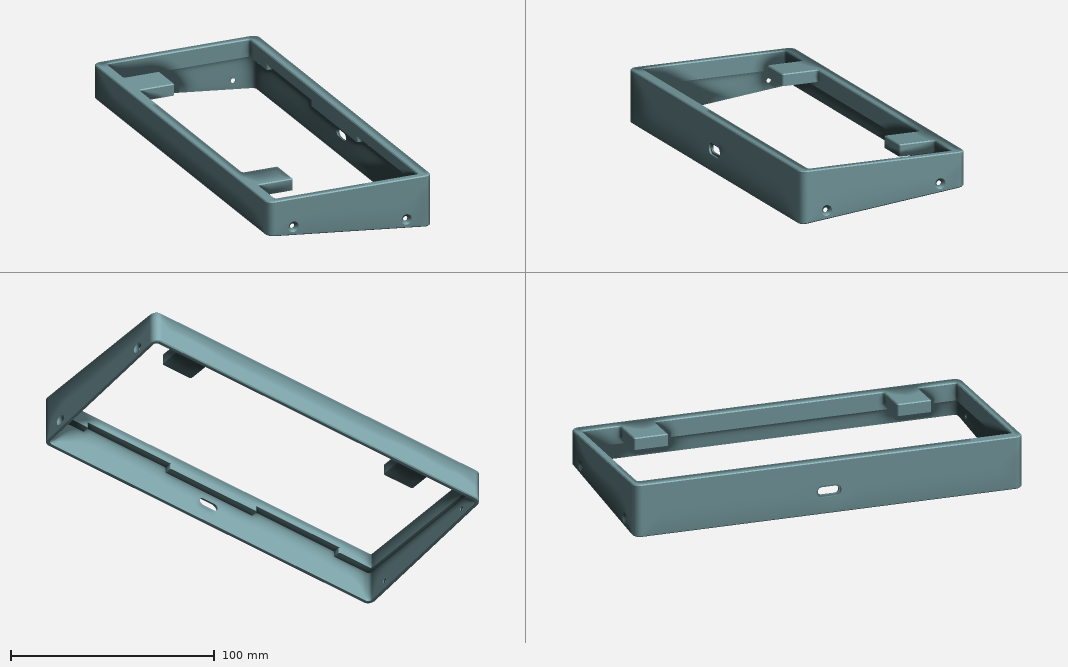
import cadquery as cq
import math

KEY_PITCH = 19.05
KEY_COLUMNS = 10.25
KEY_ROWS = 4
KEY_CLEARANCE = 0.5

SIDE_WALL = 4.0
END_WALL = 6.0
OPENING_X = KEY_COLUMNS * KEY_PITCH + 2 * KEY_CLEARANCE
OPENING_Y = KEY_ROWS * KEY_PITCH + 2 * KEY_CLEARANCE
LENGTH = OPENING_X + 2 * SIDE_WALL
DEPTH = OPENING_Y + 2 * END_WALL
FRONT_Y = -DEPTH / 2

FRONT_HEIGHT = 18.0
TILT = 6.0
SLOPE = math.tan(math.radians(TILT))
BACK_HEIGHT = FRONT_HEIGHT + DEPTH * SLOPE

CORNER_RADIUS = 4.0
OPENING_RADIUS = 1.0
CHAMFER = 0.5

CAVITY_WALL = 2.0
CAVITY_RADIUS = CORNER_RADIUS - CAVITY_WALL
LIP_HEIGHT = 9.2
CAVITY_X = LENGTH - 2 * CAVITY_WALL
CAVITY_Y = DEPTH - 2 * CAVITY_WALL

RELIEF_INNER_X = 27.0
RELIEF_OUTER_X = 78.2
RELIEF_LIP_HEIGHT = 6.0
RELIEF_END_RADIUS = 1.0

TAB_COLUMN = 1
TAB_WIDTH = KEY_PITCH - 2 * KEY_CLEARANCE
TAB_X = KEY_COLUMNS * KEY_PITCH / 2 - (TAB_COLUMN + 0.5) * KEY_PITCH
TAB_TIP_Y = -KEY_PITCH - KEY_CLEARANCE
TAB_THICKNESS = 6.2

SCREW_DIAMETER = 2.5
SCREW_HEAD_DIAMETER = 5.5
SCREW_Y = 30.6
SCREW_ABOVE_UNDERSIDE = 4.5

SLOT_LENGTH = 11.0
SLOT_HEIGHT = 4.0
SLOT_BELOW_TOP = 15.7
SLOT_WEB = 1.0
PLUG_MARGIN = 1.0

TOP_Z = (FRONT_HEIGHT + (DEPTH - CHAMFER) * SLOPE) / 2


def underside_z(y):
    """Height of the sloping underside at a given Y."""
    return TOP_Z - FRONT_HEIGHT - (y - FRONT_Y) * SLOPE


def block(x_min, x_max, y_min, y_max, z_min, z_max):
    """Axis-aligned block between the given limits."""
    size = (x_max - x_min, y_max - y_min, z_max - z_min)
    return cq.Workplane("XY").box(*size, centered=False).translate((x_min, y_min, z_min))


def wedge_body():
    """Solid wedge with rounded corners and a chamfered underside rim."""
    profile = [
        (FRONT_Y, TOP_Z),
        (-FRONT_Y, TOP_Z),
        (-FRONT_Y, underside_z(-FRONT_Y)),
        (FRONT_Y, underside_z(FRONT_Y)),
    ]
    wedge = cq.Workplane("YZ").polyline(profile).close().extrude(LENGTH / 2, both=True)
    wedge = wedge.edges("|Z").fillet(CORNER_RADIUS)
    return wedge.faces("<Z").edges().chamfer(CHAMFER)


def key_opening():
    """Through cut for the keys, leaving the tabs standing."""
    opening = cq.Workplane("XY").rect(OPENING_X, OPENING_Y).extrude(-BACK_HEIGHT)
    for side in (-1, 1):
        tab = block(-TAB_WIDTH / 2, TAB_WIDTH / 2, FRONT_Y, TAB_TIP_Y, -TAB_THICKNESS, 0)
        opening = opening.cut(tab.translate((side * TAB_X, 0, 0)))
    opening = opening.edges("|Z").fillet(OPENING_RADIUS)
    return opening.translate((0, 0, TOP_Z))


def cavity():
    """Wider pocket under the lip, open at the underside."""
    pocket = cq.Workplane("XY").rect(CAVITY_X, CAVITY_Y).extrude(-BACK_HEIGHT)
    pocket = pocket.edges("|Z").fillet(CAVITY_RADIUS)
    return pocket.translate((0, 0, TOP_Z - LIP_HEIGHT))


def ceiling_relief(side):
    """Raised stretch of cavity ceiling in the back lip, left or right of the slot."""
    relief = block(
        RELIEF_INNER_X,
        RELIEF_OUTER_X,
        0,
        CAVITY_Y / 2,
        TOP_Z - LIP_HEIGHT,
        TOP_Z - RELIEF_LIP_HEIGHT,
    )
    return relief if side > 0 else relief.mirror("YZ")


def screw_hole(side, y):
    """Countersunk hole through one side wall, sunk from the outside."""
    z = underside_z(y) + SCREW_ABOVE_UNDERSIDE
    inward = cq.Vector(-side, 0, 0)
    entry = cq.Vector(side * LENGTH / 2, y, z)
    hole_radius = SCREW_DIAMETER / 2
    head_radius = SCREW_HEAD_DIAMETER / 2
    shank = cq.Solid.makeCylinder(hole_radius, SIDE_WALL, entry, inward)
    head = cq.Solid.makeCone(head_radius, hole_radius, head_radius - hole_radius, entry, inward)
    return cq.Workplane(shank.fuse(head))


def slot_prism(margin, y_start):
    """Rounded slot, widened by a margin all round, running backwards from a given Y."""
    slot = cq.Workplane("XZ").slot2D(SLOT_LENGTH + 2 * margin, SLOT_HEIGHT + 2 * margin)
    return slot.extrude(-DEPTH / 2).translate((0, y_start, TOP_Z - SLOT_BELOW_TOP))


def cable_slot():
    """Slot through a thin web of the back wall, with the plug recess behind it."""
    plug_recess = slot_prism(PLUG_MARGIN, CAVITY_Y / 2 + SLOT_WEB)
    return slot_prism(0, 0).union(plug_recess)


def round_relief_ends(frame):
    """Round the upright lip edges where the reliefs open through the lip face."""
    lip_face_y = OPENING_Y / 2
    tolerance = 0.1
    relief_zone = cq.selectors.BoxSelector(
        (-RELIEF_OUTER_X - tolerance, lip_face_y - tolerance, TOP_Z - LIP_HEIGHT),
        (RELIEF_OUTER_X + tolerance, lip_face_y + tolerance, TOP_Z - RELIEF_LIP_HEIGHT),
    )
    return frame.edges("|Z").edges(relief_zone).fillet(RELIEF_END_RADIUS)


result = wedge_body().cut(key_opening())
result = result.faces(">Z").edges().chamfer(CHAMFER)
result = result.cut(cavity()).cut(cable_slot())
for side in (-1, 1):
    result = result.cut(ceiling_relief(side))
    for y in (-SCREW_Y, SCREW_Y):
        result = result.cut(screw_hole(side, y))
result = round_relief_ends(result)